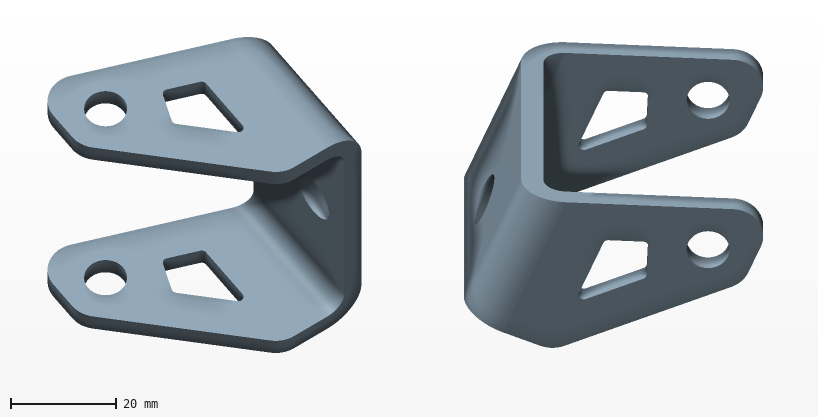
import cadquery as cq
import math

height = 60.0
depth = 46.0
thickness = 4.0
bend_inner_radius = 4.0
bend_outer_radius = bend_inner_radius + thickness

back_width = 28.2
side_slope = math.tan(math.radians(20))
straight_side_length = 18.25
corner_radius = 6.0

pin_hole_diameter = 8.15
pin_hole_x = -31.9
pin_hole_y = -37.0
back_hole_diameter = 10.0
back_hole_x = -10.0
back_hole_z = -1.0

window_back_y = -18.05
window_back_left_x = -26.3
window_back_right_x = -11.15
window_left_depth = 7.85
window_corner_radius = 1.0


def make_channel():
    """U-shaped bent sheet, wide enough to be trimmed to the arm outline."""
    width = back_width + depth * side_slope
    outer = (
        cq.Workplane("XY")
        .box(width, depth, height)
        .translate((-width / 2, -depth / 2, 0))
        .edges("|X and >Y")
        .fillet(bend_outer_radius)
    )
    inner = (
        cq.Workplane("XY")
        .box(width, depth, height - 2 * thickness)
        .translate((-width / 2, -depth / 2 - thickness, 0))
        .edges("|X and >Y")
        .fillet(bend_inner_radius)
    )
    return outer.cut(inner)


def make_outline():
    """Full-height prism of the arm outline with its three rounded corners."""
    points = [
        (0, 0),
        (-back_width, 0),
        (-back_width - depth * side_slope, -depth),
        (straight_side_length - depth, -depth),
        (0, -straight_side_length),
    ]
    prism = cq.Workplane("XY").polyline(points).close().extrude(height / 2, both=True)
    return prism.edges("|Z").edges("not >Y").fillet(corner_radius)


def make_window():
    """Four-sided opening through both arms."""
    front_left_x = window_back_left_x - window_left_depth * side_slope
    front_left_y = window_back_y - window_left_depth
    diagonal_y_at_front_left = window_back_y + front_left_x - window_back_right_x
    front_run = (front_left_y - diagonal_y_at_front_left) / (1 + side_slope)
    points = [
        (window_back_left_x, window_back_y),
        (front_left_x, front_left_y),
        (front_left_x + front_run, front_left_y - front_run * side_slope),
        (window_back_right_x, window_back_y),
    ]
    prism = cq.Workplane("XY").polyline(points).close().extrude(height / 2, both=True)
    return prism.edges("|Z").fillet(window_corner_radius)


pin_holes = (
    cq.Workplane("XY")
    .center(pin_hole_x, pin_hole_y)
    .circle(pin_hole_diameter / 2)
    .extrude(height / 2, both=True)
)
back_hole = (
    cq.Workplane("XZ")
    .center(back_hole_x, back_hole_z)
    .circle(back_hole_diameter / 2)
    .extrude(thickness)
)

result = make_channel().intersect(make_outline())
result = result.cut(make_window()).cut(pin_holes).cut(back_hole)